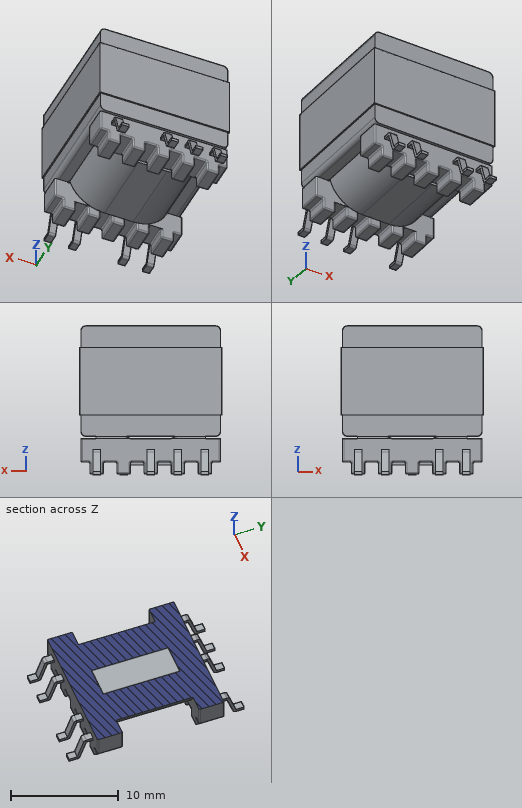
import cadquery as cq
import math

CORE_X = 12.95
CORE_Y = 12.7
CORE_BOTTOM = 3.55
CORE_TOP = 13.8
CORE_ROUND = 0.5
TAPE_X = 13.2
TAPE_Y = 12.95
TAPE_HEIGHT = 6.25

RAIL_X = 12.95
RAIL_INNER_Y = 3.79
RAIL_OUTER_Y = 6.3
RAIL_BOTTOM = 1.17
RAIL_TOP = 3.35
EDGE_ROUND = 0.14

PITCH = 2.5
FOOT_SLOTS = (-2, -1, 0, 1, 2)
FOOT_WIDTH = 1.25
FOOT_BOTTOM = 0.07

WINDING_RADIUS = 3.65
BORE_RADIUS = 1.25
END_CENTRE_X = 1.46
WINDING_BOTTOM = 0.89
AXIS_Z = WINDING_BOTTOM + WINDING_RADIUS

FLANGE_X = 10.15
FLANGE_OUTER_Y = 4.35

PIN_WIDTH = 0.71
PIN_THICKNESS = 0.3
PIN_TOP = 2.33
PIN_BEND_Y = 6.97
PIN_FOOT_Y = 7.88
PIN_TIP_Y = 8.7
FRONT_PIN_SLOTS = (-2, -1, 1, 2)
BACK_PIN_SLOTS = (-2, -1, 0, 2)


def block(size_x, y_range, z_range):
    """Box centred on X = 0 that fills the given Y and Z ranges."""
    (y0, y1), (z0, z1) = y_range, z_range
    box = cq.Workplane("XY").box(size_x, y1 - y0, z1 - z0, centered=(True, False, False))
    return box.translate((0, y0, z0))


def obround(radius, half_length):
    """Obround bar along Y on the winding axis, centred on Y = 0."""
    profile = cq.Workplane("XZ").center(0, AXIS_Z).slot2D(2 * (END_CENTRE_X + radius), 2 * radius)
    return profile.extrude(half_length, both=True)


def make_core():
    core = block(CORE_X, (-CORE_Y / 2, CORE_Y / 2), (CORE_BOTTOM, CORE_TOP)).edges("|Y").fillet(CORE_ROUND)
    middle = (CORE_BOTTOM + CORE_TOP) / 2
    tape_z = (middle - TAPE_HEIGHT / 2, middle + TAPE_HEIGHT / 2)
    return core.union(block(TAPE_X, (-TAPE_Y / 2, TAPE_Y / 2), tape_z))


def make_rail():
    """Rail at +Y with its five feet and rounded edges."""
    rail = block(RAIL_X, (RAIL_INNER_Y, RAIL_OUTER_Y), (RAIL_BOTTOM, RAIL_TOP))
    for slot in FOOT_SLOTS:
        foot = block(FOOT_WIDTH, (RAIL_INNER_Y, RAIL_OUTER_Y), (FOOT_BOTTOM, RAIL_TOP))
        rail = rail.union(foot.translate((slot * PITCH, 0, 0)))
    rail = rail.clean().edges("|Y").edges("not >Z").fillet(EDGE_ROUND)
    return rail.faces("<Y or >Y").edges("not >Z").fillet(EDGE_ROUND)


def make_pin():
    """Gull-wing pin at +Y: two bends, sharp inside and round outside."""
    upper_z = PIN_TOP - PIN_THICKNESS
    lower_z = PIN_THICKNESS
    run = PIN_FOOT_Y - PIN_BEND_Y
    drop = upper_z - lower_z
    lean = math.atan2(run, drop) - math.asin(PIN_THICKNESS / math.hypot(run, drop))

    def around(y, z, angle):
        return (y + PIN_THICKNESS * math.cos(angle), z + PIN_THICKNESS * math.sin(angle))

    middle = (lean + math.pi / 2) / 2
    profile = (
        cq.Workplane("YZ")
        .moveTo(RAIL_OUTER_Y, upper_z)
        .lineTo(RAIL_OUTER_Y, PIN_TOP)
        .lineTo(PIN_BEND_Y, PIN_TOP)
        .threePointArc(around(PIN_BEND_Y, upper_z, middle), around(PIN_BEND_Y, upper_z, lean))
        .lineTo(PIN_FOOT_Y, lower_z)
        .lineTo(PIN_TIP_Y, lower_z)
        .lineTo(PIN_TIP_Y, 0)
        .lineTo(PIN_FOOT_Y, 0)
        .threePointArc(
            around(PIN_FOOT_Y, lower_z, middle + math.pi),
            around(PIN_FOOT_Y, lower_z, lean + math.pi),
        )
        .lineTo(PIN_BEND_Y, upper_z)
        .close()
    )
    return profile.extrude(PIN_WIDTH / 2, both=True)


def make_flange():
    """Flange at +Y, open at the bore, from the top of the rail to the core."""
    flange = block(FLANGE_X, (RAIL_INNER_Y, FLANGE_OUTER_Y), (RAIL_BOTTOM, CORE_BOTTOM))
    flange = flange.edges("|Z and <Y").fillet(EDGE_ROUND)
    flange = flange.cut(obround(BORE_RADIUS, FLANGE_OUTER_Y))
    bore_rim = cq.selectors.BoxSelector(
        (-FLANGE_X / 2 + EDGE_ROUND, FLANGE_OUTER_Y - EDGE_ROUND, RAIL_BOTTOM + EDGE_ROUND),
        (FLANGE_X / 2 - EDGE_ROUND, FLANGE_OUTER_Y + EDGE_ROUND, CORE_BOTTOM - EDGE_ROUND / 2),
    )
    return flange.edges(bore_rim).fillet(EDGE_ROUND)


def make_end(pin_slots):
    """Rail, flange and pins of the +Y end."""
    end = make_rail().union(make_flange())
    for slot in pin_slots:
        end = end.union(make_pin().translate((slot * PITCH, 0, 0)))
    return end


def make_winding():
    """Hollow winding between the rails, ending at the underside of the core."""
    below_core = block(RAIL_X, (-RAIL_INNER_Y, RAIL_INNER_Y), (0, CORE_BOTTOM))
    ring = obround(WINDING_RADIUS, RAIL_INNER_Y).cut(obround(BORE_RADIUS, RAIL_INNER_Y))
    return ring.intersect(below_core)


def make_bobbin():
    back = make_end(BACK_PIN_SLOTS)
    front = make_end([-slot for slot in FRONT_PIN_SLOTS]).rotate((0, 0, 0), (0, 0, 1), 180)
    return back.union(front).union(make_winding())


core = make_core()
bobbin = make_bobbin()
result = cq.Compound.makeCompound([core.val(), bobbin.val()])